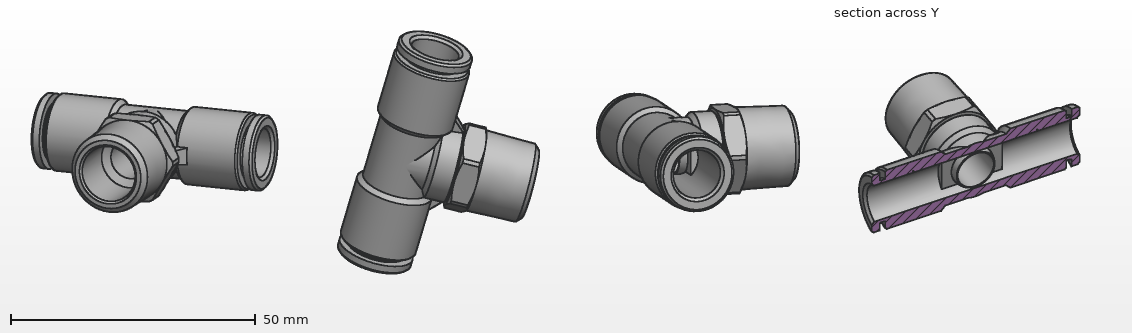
import cadquery as cq
import math

total_length = 48.3
half_length = total_length / 2
total_depth = 34.5

socket_radius = 16.0 / 2
middle_radius = 7.0
ring_radius = 7.8
ring_chamfer = 0.5
ring_width = 1.95
neck_radius = 5.85
neck_collar_radius = 6.0
neck_collar_length = 0.25
socket_end = 21.0
socket_chamfer = 0.4
shoulder = socket_radius - middle_radius
socket_inner_end = 8.0
tube_bore_radius = 10.0 / 2
bore_chamfer = 0.65

branch_reach = total_depth - socket_radius
stem_slope_start = 4.97
stem_end = 10.5
stem_chamfer = 0.35
hex_end = 15.0
hex_flats = 17.0
hex_corner_radius = 9.55
hex_chamfer_length = 0.55
thread_root_radius = 8.5
thread_end_radius = 8.25
thread_chamfer = 1.05

rib_reach = 10.15
rib_end = stem_end
rib_base_width = 3.57
rib_end_width = 2.7

passage_radius = 8.25 / 2
counterbore_radius = 5.8
counterbore_end = 15.0
drill_point_angle = math.radians(30)
mouth_chamfer = 0.45
seat_distance = 3.5
insert_tip = 1.85
insert_taper_end = 3.05
insert_tip_radius = 4.5
insert_radius = 4.8


def turned_about_x(profile):
    """Revolve (x, radius) points closed along the X axis."""
    return cq.Workplane("XY").polyline(profile).close().revolve(360, (0, 0, 0), (1, 0, 0))


def turned_about_branch(profile):
    """Revolve (distance, radius) points closed along the branch axis."""
    points = [(radius, -distance) for distance, radius in profile]
    return cq.Workplane("XY").polyline(points).close().revolve(360, (0, 0, 0), (0, 1, 0))


def run_body():
    ring_back = half_length - ring_width
    half_outline = [
        (socket_inner_end - shoulder, middle_radius),
        (socket_inner_end, socket_radius),
        (socket_end - socket_chamfer, socket_radius),
        (socket_end, socket_radius - socket_chamfer),
        (socket_end, neck_radius),
        (ring_back - neck_collar_length, neck_radius),
        (ring_back - neck_collar_length, neck_collar_radius),
        (ring_back, neck_collar_radius),
        (ring_back, ring_radius),
        (half_length - ring_chamfer, ring_radius),
        (half_length, ring_radius - ring_chamfer),
        (half_length, 0),
    ]
    mirrored = [(-x, radius) for x, radius in reversed(half_outline)]
    return turned_about_x(mirrored + half_outline)


def branch_body():
    return turned_about_branch([
        (0, 0),
        (0, middle_radius),
        (stem_slope_start, middle_radius),
        (stem_slope_start + shoulder, socket_radius),
        (stem_end - stem_chamfer, socket_radius),
        (stem_end, socket_radius - stem_chamfer),
        (hex_end, socket_radius - stem_chamfer),
        (hex_end, thread_root_radius),
        (branch_reach - thread_chamfer, thread_end_radius),
        (branch_reach, thread_end_radius - thread_chamfer),
        (branch_reach, 0),
    ])


def hexagon():
    corner_to_corner = hex_flats / math.cos(math.pi / 6)
    prism = (
        cq.Workplane("XZ", origin=(0, -stem_end, 0))
        .polygon(6, corner_to_corner)
        .extrude(hex_end - stem_end)
    )
    face_radius = hex_flats / 2
    corner_limit = turned_about_branch([
        (stem_end, 0),
        (stem_end, face_radius),
        (stem_end + hex_chamfer_length, hex_corner_radius),
        (hex_end - hex_chamfer_length, hex_corner_radius),
        (hex_end, face_radius),
        (hex_end, 0),
    ])
    return prism.intersect(corner_limit)


def ribs():
    """Triangular ribs on both sides, narrowing in Z towards the hexagon."""
    rib_slope = rib_end - socket_radius
    triangles = (
        cq.Workplane("XY")
        .polyline([
            (-rib_reach, 0),
            (-rib_reach, -socket_radius),
            (-rib_reach + rib_slope, -rib_end),
            (rib_reach - rib_slope, -rib_end),
            (rib_reach, -socket_radius),
            (rib_reach, 0),
        ])
        .close()
        .extrude(rib_base_width / 2, both=True)
    )
    tapered_width = (
        cq.Workplane("YZ")
        .polyline([
            (0, -rib_base_width / 2),
            (-socket_radius, -rib_base_width / 2),
            (-rib_end, -rib_end_width / 2),
            (-rib_end, rib_end_width / 2),
            (-socket_radius, rib_base_width / 2),
            (0, rib_base_width / 2),
        ])
        .close()
        .extrude(rib_reach, both=True)
    )
    return triangles.intersect(tapered_width)


def tube_bore():
    mouth_radius = tube_bore_radius + bore_chamfer
    return turned_about_x([
        (-half_length, 0),
        (-half_length, mouth_radius),
        (-half_length + bore_chamfer, tube_bore_radius),
        (half_length - bore_chamfer, tube_bore_radius),
        (half_length, mouth_radius),
        (half_length, 0),
    ])


def bore_floor():
    """Flat floor across the middle of the tube bore, on the branch side."""
    middle_length = 2 * (socket_inner_end - shoulder)
    floor_depth = middle_radius - seat_distance
    floor_block = cq.Workplane("XY").box(middle_length, floor_depth, 2 * tube_bore_radius)
    floor_block = floor_block.translate((0, -seat_distance - floor_depth / 2, 0))
    return floor_block.intersect(turned_about_x([
        (-half_length, 0),
        (-half_length, middle_radius),
        (half_length, middle_radius),
        (half_length, 0),
    ]))


def insert():
    return turned_about_branch([
        (insert_tip, 0),
        (insert_tip, insert_tip_radius),
        (insert_taper_end, insert_radius),
        (stem_slope_start, insert_radius),
        (stem_slope_start, 0),
    ])


def branch_passage():
    taper_length = (counterbore_radius - passage_radius) * math.tan(drill_point_angle)
    return turned_about_branch([
        (0, 0),
        (0, passage_radius),
        (counterbore_end - taper_length, passage_radius),
        (counterbore_end, counterbore_radius),
        (branch_reach - mouth_chamfer, counterbore_radius),
        (branch_reach, counterbore_radius + mouth_chamfer),
        (branch_reach, 0),
    ])


outside = run_body().union(branch_body()).union(hexagon()).union(ribs())
bored = outside.cut(tube_bore())
result = bored.union(bore_floor()).union(insert()).cut(branch_passage())